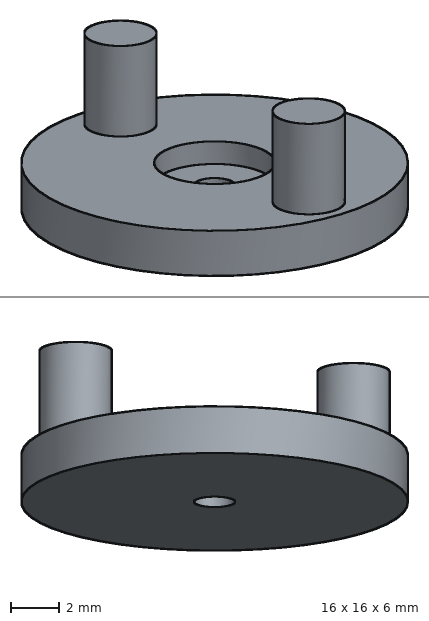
import cadquery as cq

disc_diameter = 16.0
disc_thickness = 2.0
pin_diameter = 3.0
pin_height = 4.0
pin_spacing = 12.0
hole_diameter = 1.7
counterbore_diameter = 5.0
counterbore_depth = 1.0


def make_disc():
    """Round base plate standing on the XY plane, with a counterbored hole at its centre."""
    disc = cq.Workplane("XY").circle(disc_diameter / 2).extrude(disc_thickness)
    return (
        disc.faces(">Z")
        .workplane()
        .cboreHole(hole_diameter, counterbore_diameter, counterbore_depth)
    )


def make_pins():
    """Two drive pins on the X axis, running from the underside of the disc up through it."""
    pin_centres = [(-pin_spacing / 2, 0), (pin_spacing / 2, 0)]
    return (
        cq.Workplane("XY")
        .pushPoints(pin_centres)
        .circle(pin_diameter / 2)
        .extrude(disc_thickness + pin_height)
    )


result = make_disc().union(make_pins())